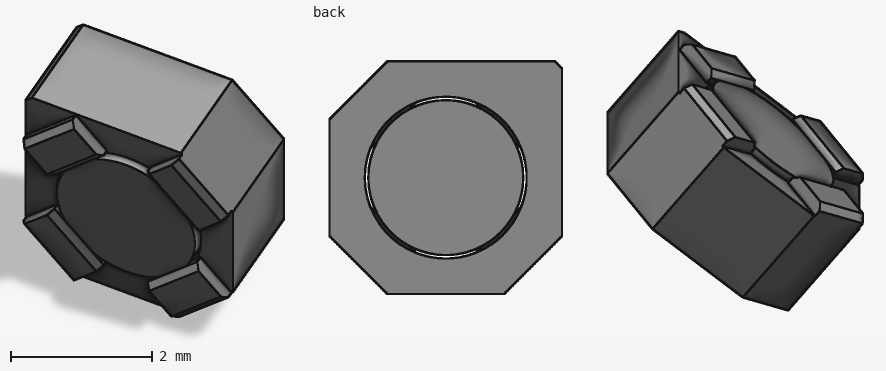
import cadquery as cq
import math

side = 3.3
housing_depth = 1.6
large_corner_cut = 0.825
small_corner_cut = 0.105

bore_radius = 1.145
core_radius = 1.1
core_protrusion = 0.1

pad_height = 0.198
pad_length = 1.112
pad_width = 0.7
pad_chamfer = 0.1

pad_outer_distance = (side - large_corner_cut) / math.sqrt(2)
pad_center_distance = pad_outer_distance - pad_width / 2
pad_angles = (45, 135, 225, 315)


def make_housing():
    half = side / 2
    large = half - large_corner_cut
    small = half - small_corner_cut
    outline = [
        (-half, small),
        (-small, half),
        (large, half),
        (half, large),
        (half, -large),
        (large, -half),
        (-large, -half),
        (-half, -large),
    ]
    block = cq.Workplane("XZ").polyline(outline).close().extrude(-housing_depth)
    bore = cq.Workplane("XZ").circle(bore_radius).extrude(-housing_depth)
    return block.cut(bore)


def make_core():
    return (
        cq.Workplane("XZ", origin=(0, -core_protrusion, 0))
        .circle(core_radius)
        .extrude(-(housing_depth + core_protrusion))
    )


def make_pad(angle):
    """Pad chamfered along its inner and outer front edges, turned about Y."""
    return (
        cq.Workplane("XZ")
        .center(pad_center_distance, 0)
        .rect(pad_width, pad_length)
        .extrude(pad_height)
        .faces("<Y")
        .edges("|Z")
        .chamfer(pad_chamfer)
        .rotate((0, 0, 0), (0, 1, 0), angle)
    )


result = make_housing()
for pad_angle in pad_angles:
    result = result.union(make_pad(pad_angle))
result = result.union(make_core())